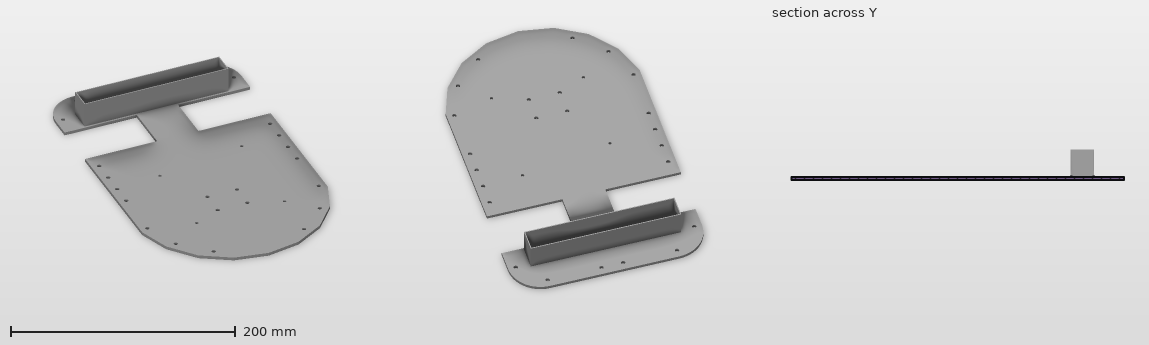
import cadquery as cq
import math

length = 296.3
width = 180.2
plate_thickness = 3.0
corner_radius = 30.0

tail_length = 49.5
body_start = 94.8
neck_width = 40.0

nose_radius = 92.0
nose_sides = 18
nose_center = length - nose_radius

box_start = 27.0
box_length = 20.7
box_width = 140.0
total_height = 27.0
wall = 1.0

mount_diameter = 4.0
small_diameter = 3.0
tail_edge_x = 7.5
tail_corner_x = 30.0
tail_edge_offsets = (10.0, 60.2)
side_row_y = 83.0
side_row_start = 110.0
side_row_length = 60.0
side_row_count = 4
side_row_pitch = side_row_length / (side_row_count - 1)
nose_holes = [(217.2, 83.3), (249.8, 70.0), (274.5, 44.0)]
center_hole_columns = (193.2, 216.0)
center_hole_spacing = 28.7
small_holes = [(132.2, 45.5), (227.3, 45.5), (145.8, -39.7), (227.3, -39.7)]


def block(x_start, x_end, y_size, height):
    """Box centred on the X axis, standing on Z = 0."""
    return cq.Workplane("XY").box(
        x_end - x_start, y_size, height, centered=(False, True, False)
    ).translate((x_start, 0, 0))


def make_plate():
    tail = block(0, tail_length, width, plate_thickness)
    tail = tail.edges("|Z and <X").fillet(corner_radius)
    neck = block(tail_length, body_start, neck_width, plate_thickness)
    body = block(body_start, nose_center, width, plate_thickness)
    step = 2 * math.pi / nose_sides
    nose_points = [
        (nose_center + nose_radius * math.cos(i * step), nose_radius * math.sin(i * step))
        for i in range(nose_sides)
    ]
    nose = cq.Workplane("XY").polyline(nose_points).close().extrude(plate_thickness)
    nose = nose.intersect(block(body_start, length, width, plate_thickness))
    return tail.union(neck).union(body).union(nose).clean()


def make_box_walls():
    box_end = box_start + box_length
    wall_height = total_height - plate_thickness
    outer = block(box_start, box_end, box_width, wall_height)
    inner = block(box_start + wall, box_end - wall, box_width - 2 * wall, wall_height)
    return outer.cut(inner).translate((0, 0, plate_thickness))


def mount_points():
    """Mounting holes, mirrored about the X axis."""
    points = [(tail_edge_x, y) for y in tail_edge_offsets]
    points.append((tail_corner_x, side_row_y))
    points += [(side_row_start + i * side_row_pitch, side_row_y) for i in range(side_row_count)]
    points += nose_holes
    points += [(x, center_hole_spacing / 2) for x in center_hole_columns]
    return points + [(x, -y) for x, y in points]


def hole_pins(points, diameter):
    return cq.Workplane("XY").pushPoints(points).circle(diameter / 2).extrude(plate_thickness)


result = make_plate().union(make_box_walls())
result = result.cut(hole_pins(mount_points(), mount_diameter))
result = result.cut(hole_pins(small_holes, small_diameter))